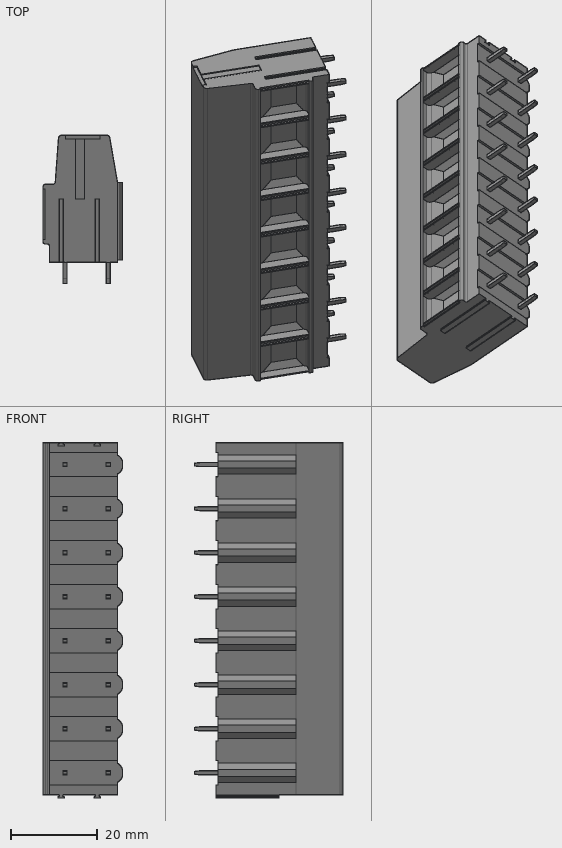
import cadquery as cq


pole_count = 8
housing_length = 81.3
pole_pitch = housing_length / pole_count
housing_height = 29.4
base_left = 1.5
base_right = 17.2
jaw_bottom = 4.2
jaw_top = 18.05
tower_left_foot = 2.8
tower_left_top = 3.6
tower_right_top = 15.3
tower_right_foot = 18.45
tower_corner_radius = 0.8
jaw_top_outer_radius = 0.65
jaw_top_inner_radius = 0.5
jaw_bottom_outer_radius = 0.6
jaw_bottom_inner_radius = 0.4

entry_low = 5.25
entry_high = 16.9
entry_width = 8.9
entry_depth = 3.4
entry_floor_low = 7.4
entry_floor_high = 13.45
entry_floor_width = 5.6
entry_wall_depth = 1.9
entry_side_wall_depth = 2.4
entry_round_low = 0.4
entry_round_high = 1.0
gap_width = 0.7
gap_depth = 0.5

channel_width = 5.6
channel_depth = 0.5
pin_size = 1.0
pin_length = 4.9
pin_x = 5.1
pin_spacing = 10.0
pin_taper = 1.2
pin_tip_thickness = 0.65
pin_embed = 0.8

rib_out = 1.15
rib_root_width = 4.4
rib_tip_width = 1.6
rib_flank_bulge = 0.2
rib_top = 18.45

dovetail_x = 4.2
dovetail_spacing = 8.4
dovetail_mouth = 1.1
dovetail_neck = 0.8
dovetail_wide = 1.5
dovetail_depth = 0.7
dovetail_length = 14.6

stem_depth = 0.25
bar_depth = 0.4
stem_left = 7.55
stem_width = 2.05
stem_bottom = 14.6
bar_left = 5.25
bar_width = 7.95
bar_bottom = 28.5


def box_from(corner, size):
    """Box given by its lowest corner and its size."""
    return cq.Workplane("XY").box(*size, centered=False).translate(corner)


def point_selector(x, y):
    """Selects the vertical housing edge passing through (x, y)."""
    return cq.selectors.NearestToPointSelector((x, y, housing_length / 2))


def make_housing():
    """Stepped profile, extruded along Z and rounded at its steps."""
    outline = [
        (base_left, 0),
        (base_right, 0),
        (base_right, tower_right_foot),
        (tower_right_top, housing_height),
        (tower_left_top, housing_height),
        (tower_left_foot, jaw_top),
        (0, jaw_top),
        (0, jaw_bottom),
        (base_left, jaw_bottom),
    ]
    body = cq.Workplane("XY").polyline(outline).close().extrude(housing_length)
    roundings = [
        (tower_right_top, housing_height, tower_corner_radius),
        (tower_left_top, housing_height, tower_corner_radius),
        (tower_left_foot, jaw_top, jaw_top_inner_radius),
        (0, jaw_top, jaw_top_outer_radius),
        (0, jaw_bottom, jaw_bottom_outer_radius),
        (base_left, jaw_bottom, jaw_bottom_inner_radius),
    ]
    for x, y, radius in roundings:
        body = body.edges("|Z").edges(point_selector(x, y)).fillet(radius)
    return body


def make_entry(center_z):
    """Funnel-shaped wire entry: where a Y-tapered and a Z-tapered prism overlap."""
    half_width = entry_width / 2
    half_floor = entry_floor_width / 2
    across_y = (
        cq.Workplane("XY")
        .polyline([
            (0, entry_low),
            (entry_wall_depth, entry_low),
            (entry_depth, entry_floor_low),
            (entry_depth, entry_floor_high),
            (entry_wall_depth, entry_high),
            (0, entry_high),
        ])
        .close()
        .extrude(half_width, both=True)
    )
    for y, radius in ((entry_low, entry_round_low), (entry_high, entry_round_high)):
        corner = cq.selectors.NearestToPointSelector((entry_wall_depth, y, 0))
        across_y = across_y.edges("|Z").edges(corner).fillet(radius)
    across_z = (
        cq.Workplane("XZ")
        .polyline([
            (0, -half_width),
            (entry_side_wall_depth, -half_width),
            (entry_depth, -half_floor),
            (entry_depth, half_floor),
            (entry_side_wall_depth, half_width),
            (0, half_width),
        ])
        .close()
        .extrude(-housing_height)
    )
    return across_y.intersect(across_z).translate((0, 0, center_z))


def make_gap(boundary_z):
    """Shallow gap between the frames of neighbouring wire entries."""
    size = (gap_depth, entry_high - entry_low, gap_width)
    return box_from((0, entry_low, boundary_z - gap_width / 2), size)


def make_channel(center_z):
    """Shallow channel across the base under one pole."""
    size = (base_right, channel_depth, channel_width)
    return box_from((0, 0, center_z - channel_width / 2), size)


def make_pin(x, center_z):
    """Square pin whose tip is thinned along Z."""
    half = pin_size / 2
    half_tip = pin_tip_thickness / 2
    return (
        cq.Workplane("YZ")
        .polyline([
            (channel_depth + pin_embed, -half),
            (pin_taper - pin_length, -half),
            (-pin_length, -half_tip),
            (-pin_length, half_tip),
            (pin_taper - pin_length, half),
            (channel_depth + pin_embed, half),
        ])
        .close()
        .extrude(half, both=True)
        .translate((x, 0, center_z))
    )


def make_rib(center_z):
    """Keying rib on the back with bulging flanks and a narrow flat tip."""
    half_root = rib_root_width / 2
    half_tip = rib_tip_width / 2
    tip_x = base_right + rib_out
    return (
        cq.Workplane("XZ")
        .moveTo(base_right, -half_root)
        .sagittaArc((tip_x, -half_tip), -rib_flank_bulge)
        .lineTo(tip_x, half_tip)
        .sagittaArc((base_right, half_root), -rib_flank_bulge)
        .close()
        .extrude(channel_depth - rib_top)
        .translate((0, channel_depth, center_z))
    )


def make_dovetail(x, end_z):
    """Dovetail bar hanging below the level end_z: narrow neck, then a flare to a wide lip."""
    right_side = [
        (dovetail_mouth / 2, 0),
        (dovetail_neck / 2, -dovetail_depth / 3),
        (dovetail_wide / 2, -dovetail_depth * 2 / 3),
        (dovetail_wide / 2, -dovetail_depth),
    ]
    left_side = [(-offset, level) for offset, level in reversed(right_side)]
    return (
        cq.Workplane("XZ")
        .polyline(right_side + left_side)
        .close()
        .extrude(-dovetail_length)
        .translate((x, 0, end_z))
    )


def make_t_recess():
    """Stem and deeper crossbar recess; the crossbar runs out through the top."""
    stem_size = (stem_width, bar_bottom - stem_bottom, stem_depth)
    bar_size = (bar_width, housing_height - bar_bottom, bar_depth)
    stem = box_from((stem_left, stem_bottom, housing_length - stem_depth), stem_size)
    bar = box_from((bar_left, bar_bottom, housing_length - bar_depth), bar_size)
    return stem.union(bar)


result = make_housing().cut(make_t_recess())

for boundary in range(pole_count + 1):
    result = result.cut(make_gap(boundary * pole_pitch))

for pole in range(pole_count):
    pole_z = (pole + 0.5) * pole_pitch
    result = result.cut(make_entry(pole_z)).cut(make_channel(pole_z))
    result = result.union(make_rib(pole_z))
    for x in (pin_x, pin_x + pin_spacing):
        result = result.union(make_pin(x, pole_z))

for x in (dovetail_x, dovetail_x + dovetail_spacing):
    result = result.cut(make_dovetail(x, housing_length))
    result = result.union(make_dovetail(x, 0))